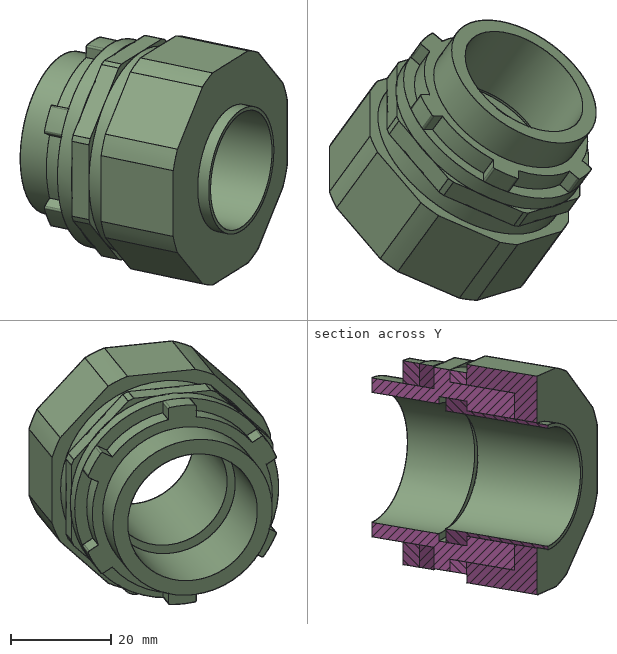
import cadquery as cq
import math

locknut_start = 7.33
gasket_start = 11.35
flange_start = 14.5
spacer_start = 18.47
nut_start = 22.3
nut_end = 38.95
liner_end = 41.5

octagon_sides = 8

tube_diameter = 33.15
bore_diameter = 27.0
flange_width = 42.0
flange_corner_diameter = 44.95
neck_diameter = 37.0
neck_end = 33.65

gasket_diameter = 42.5

locknut_root_diameter = 37.5
lug_count = 6
lug_width = 5.82
lug_edge_radius = 0.4

nut_width = 45.5
nut_corner_diameter = 47.65

collar_seat_start = 15.85
liner_start = 17.35
liner_bore_diameter = 24.5
liner_diameter = 26.0
collar_diameter = 30.0
collar_end = nut_start


def cylinder(start, end, diameter):
    """Solid cylinder on the X axis between two stations."""
    return cq.Workplane("YZ", origin=(start, 0, 0)).circle(diameter / 2).extrude(end - start)


def ring(start, end, outer_diameter, inner_diameter):
    """Plain ring on the X axis between two stations."""
    return cylinder(start, end, outer_diameter).cut(cylinder(start, end, inner_diameter))


def octagon_prism(start, end, width, corner_diameter):
    """Octagonal prism, its flats facing Y and Z, with corners turned down to a diameter."""
    half_side_angle = 180 / octagon_sides
    vertex_diameter = width / math.cos(math.radians(half_side_angle))
    prism = (
        cq.Workplane("YZ", origin=(start, 0, 0))
        .transformed(rotate=(0, 0, half_side_angle))
        .polygon(octagon_sides, vertex_diameter)
        .extrude(end - start)
    )
    return prism.intersect(cylinder(start, end, corner_diameter))


def make_body():
    tube = cylinder(0, flange_start, tube_diameter)
    flange = octagon_prism(flange_start, spacer_start, flange_width, flange_corner_diameter)
    neck = cylinder(spacer_start, neck_end, neck_diameter)
    bore = cylinder(0, collar_seat_start, bore_diameter)
    collar_seat = cylinder(collar_seat_start, collar_end, collar_diameter)
    liner_hole = cylinder(collar_end, neck_end, liner_diameter)
    return tube.union(flange).union(neck).cut(bore).cut(collar_seat).cut(liner_hole)


def make_lug():
    """One locknut lug pointing along +Z, with rounded outer edges."""
    thickness = gasket_start - locknut_start
    block = (
        cq.Workplane("XY", origin=(locknut_start, 0, 0))
        .rect(thickness, lug_width, centered=(False, True))
        .extrude(gasket_diameter)
        .intersect(cylinder(locknut_start, gasket_start, gasket_diameter))
    )
    return block.edges("|X and (not <Z)").fillet(lug_edge_radius)


def make_locknut():
    locknut = cylinder(locknut_start, gasket_start, locknut_root_diameter)
    lug = make_lug()
    for index in range(lug_count):
        locknut = locknut.union(lug.rotate((0, 0, 0), (1, 0, 0), index * 360 / lug_count))
    return locknut.cut(cylinder(locknut_start, gasket_start, tube_diameter))


def make_nut():
    nut = octagon_prism(nut_start, nut_end, nut_width, nut_corner_diameter)
    neck_socket = cylinder(nut_start, neck_end, neck_diameter)
    liner_hole = cylinder(neck_end, nut_end, liner_diameter)
    return nut.cut(neck_socket).cut(liner_hole)


def make_liner():
    collar = cylinder(liner_start, collar_end, collar_diameter)
    sleeve = cylinder(collar_end, liner_end, liner_diameter)
    bore = cylinder(liner_start, liner_end, liner_bore_diameter)
    return collar.union(sleeve).cut(bore)


body = make_body()
locknut = make_locknut()
gasket = ring(gasket_start, flange_start, gasket_diameter, tube_diameter)
spacer = ring(spacer_start, nut_start, flange_width, neck_diameter)
nut = make_nut()
liner = make_liner()

result = cq.Compound.makeCompound(
    [body.val(), locknut.val(), gasket.val(), spacer.val(), nut.val(), liner.val()]
)